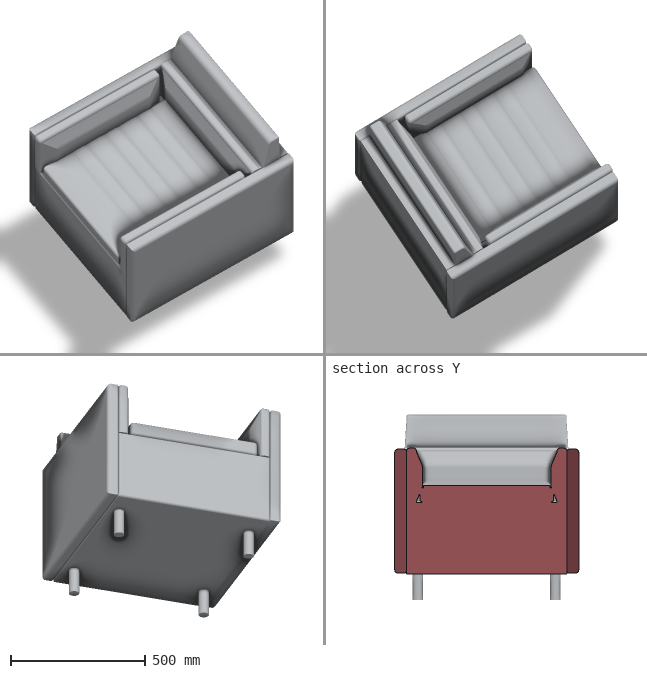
import cadquery as cq


WIDTH = 686.0
DEPTH = 737.0
HEIGHT = 690.5
FRONT = -DEPTH / 2
REAR = DEPTH / 2

LEG_DIAMETER = 38.0
LEG_HEIGHT = 98.0
LEG_X = 256.0
LEG_FRONT_Y = -246.0
LEG_REAR_Y = 252.0

CORE_WIDTH = 598.0
FRONT_INSET = 4.0
REAR_INSET = 3.0
CORE_FRONT = FRONT + FRONT_INSET
CORE_REAR = REAR - REAR_INSET
BASE_TOP = 365.5
BASE_ROUND = 8.0
REAR_WALL_FRONT = 221.0

PANEL_BOTTOM = 101.0
PANEL_TOP = 563.0
PANEL_FRONT = CORE_FRONT
PANEL_OUTER_ROUND = 13.0
PANEL_INNER_ROUND = 8.0
PANEL_THICKNESS = (WIDTH - CORE_WIDTH) / 2

HEADREST_REAR = 330.0
HEADREST_FOOT_FRONT = 249.0
HEADREST_TOP_FRONT = 284.5
HEADREST_FOOT_WIDTH = 609.0
HEADREST_TOP_WIDTH = 592.5
HEADREST_REAR_ROUND = 7.5
HEADREST_FRONT_ROUND = 18.0
HEADREST_SIDE_ROUND = 6.0

CUSHION_RISE = 4.0
CUSHION_TOP = PANEL_TOP + CUSHION_RISE
ARM_THICKNESS = 38.0
ARM_REAR = 177.0
ARM_ROUND = 12.0
BACK_REAR = 240.0
BACK_FRONT = 204.0
BACK_ROUND = 10.0
PILLOW_SWELL = 22.0
PILLOW_SLOPE = 51.5
PILLOW_ROUND = 29.5
PILLOW_MARGIN = 6.0

SEAT_WIDTH = 500.0
SEAT_EDGE_HEIGHT = 53.0
SEAT_ROUND = 9.5
SEAT_CORNER_ROUND = 13.0
SEAT_CROWN = 7.0
SEAT_SWELL = 3.0
SEAM_PITCH = 146.0
SEAM_PAIRS = 3
SEAM_FIRST_Y = -237.0
BOLSTER_WIDTH = 62.0


def block(width, y_front, y_rear, z_bottom, z_top):
    """Box centred on X = 0 between the given Y and Z limits."""
    return cq.Workplane("XY").box(
        width, y_rear - y_front, z_top - z_bottom, centered=(True, False, False)
    ).translate((0, y_front, z_bottom))


def pillow(length, height):
    """Rounded frustum on the XY plane, length along X, swelling toward +Z."""
    swelling = (
        cq.Workplane("XY")
        .rect(length, height)
        .workplane(offset=PILLOW_SWELL)
        .rect(length - 2 * PILLOW_SLOPE, height - 2 * PILLOW_SLOPE)
        .loft(ruled=True)
    )
    return swelling.faces(">Z").edges().fillet(PILLOW_ROUND)


def make_base():
    base = block(CORE_WIDTH, CORE_FRONT, CORE_REAR, LEG_HEIGHT, BASE_TOP)
    base = base.edges("|Z or <Y").fillet(BASE_ROUND)
    rear_wall = block(CORE_WIDTH, REAR_WALL_FRONT, CORE_REAR, BASE_TOP - BASE_ROUND, PANEL_TOP)
    return base.union(rear_wall)


def make_headrest():
    side_outline = [
        (HEADREST_REAR, PANEL_TOP),
        (HEADREST_REAR, HEIGHT),
        (HEADREST_TOP_FRONT, HEIGHT),
        (HEADREST_FOOT_FRONT, PANEL_TOP),
    ]
    headrest = cq.Workplane("YZ").polyline(side_outline).close()
    headrest = headrest.extrude(HEADREST_FOOT_WIDTH / 2, both=True)
    headrest = headrest.faces(">Z").edges(">Y").fillet(HEADREST_REAR_ROUND)
    headrest = headrest.faces(">Z").edges("<Y").fillet(HEADREST_FRONT_ROUND)
    front_outline = [
        (-HEADREST_FOOT_WIDTH / 2, PANEL_TOP),
        (HEADREST_FOOT_WIDTH / 2, PANEL_TOP),
        (HEADREST_TOP_WIDTH / 2, HEIGHT),
        (-HEADREST_TOP_WIDTH / 2, HEIGHT),
    ]
    taper = cq.Workplane("XZ").polyline(front_outline).close().extrude(DEPTH, both=True)
    headrest = headrest.intersect(taper)
    return headrest.faces("<X or >X").edges("not <Z").fillet(HEADREST_SIDE_ROUND)


def make_arm(side):
    """Arm cushion; side is -1 for the left arm and +1 for the right arm."""
    length = ARM_REAR - FRONT
    height = CUSHION_TOP - BASE_TOP
    middle_y = (FRONT + ARM_REAR) / 2
    middle_z = (BASE_TOP + CUSHION_TOP - ARM_ROUND) / 2
    arm = block(ARM_THICKNESS, FRONT, ARM_REAR, BASE_TOP, CUSHION_TOP)
    arm = arm.edges("not <Z").fillet(ARM_ROUND)
    swelling = (
        pillow(length - 2 * ARM_ROUND, height - ARM_ROUND - PILLOW_MARGIN)
        .rotate((0, 0, 0), (0, 0, 1), 90)
        .rotate((0, 0, 0), (0, 1, 0), -90 * side)
        .translate((-side * ARM_THICKNESS / 2, middle_y, middle_z))
    )
    return arm.union(swelling).translate((side * (CORE_WIDTH - ARM_THICKNESS) / 2, 0, 0))


def make_back_cushion():
    height = CUSHION_TOP - BASE_TOP
    cushion = block(CORE_WIDTH, BACK_FRONT, BACK_REAR, BASE_TOP, CUSHION_TOP)
    cushion = cushion.edges("|X and >Z").fillet(BACK_ROUND)
    swelling = (
        pillow(CORE_WIDTH - 2 * BACK_ROUND, height - BACK_ROUND - PILLOW_MARGIN)
        .rotate((0, 0, 0), (1, 0, 0), 90)
        .translate((0, BACK_FRONT, (BASE_TOP + CUSHION_TOP - BACK_ROUND) / 2))
    )
    return cushion.union(swelling)


def make_seat():
    seat_top = BASE_TOP + SEAT_EDGE_HEIGHT
    seat = block(SEAT_WIDTH, CORE_FRONT, BACK_REAR, BASE_TOP, seat_top)
    seat = seat.edges("|Z and <Y").fillet(SEAT_CORNER_ROUND)
    seat = seat.faces(">Z or <Z").edges("not >Y").fillet(SEAT_ROUND)

    stops = [CORE_FRONT + SEAT_ROUND]
    for pair in range(SEAM_PAIRS):
        seam = SEAM_FIRST_Y + pair * SEAM_PITCH
        stops += [seam, seam + BOLSTER_WIDTH]
    stops.append(BACK_REAR)
    seam_height = seat_top + SEAT_CROWN
    heights = [seat_top] + [seam_height] * (len(stops) - 1)
    points = list(zip(stops, heights))
    crown = cq.Workplane("YZ").moveTo(*points[0])
    for start, end in zip(points, points[1:]):
        middle = ((start[0] + end[0]) / 2, (start[1] + end[1]) / 2 + SEAT_SWELL)
        crown = crown.threePointArc(middle, end)
    crown = crown.lineTo(BACK_REAR, BASE_TOP).lineTo(stops[0], BASE_TOP).close()
    return seat.union(crown.extrude(SEAT_WIDTH / 2 - SEAT_CORNER_ROUND, both=True))


def make_core():
    core = make_base().union(make_headrest()).union(make_back_cushion()).union(make_seat())
    for side in (-1, 1):
        core = core.union(make_arm(side))
    return core.solids()


def make_side_panel(side):
    """Outer panel standing against the core; side is -1 for left and +1 for right."""
    panel = block(PANEL_THICKNESS, PANEL_FRONT, REAR, PANEL_BOTTOM, PANEL_TOP)
    panel = panel.translate((side * (CORE_WIDTH + PANEL_THICKNESS) / 2, 0, 0))
    outer_face, inner_face = (">X", "<X") if side > 0 else ("<X", ">X")
    panel = panel.faces(outer_face).edges().fillet(PANEL_OUTER_ROUND)
    return panel.faces(inner_face).edges().fillet(PANEL_INNER_ROUND)


def make_leg(x, y):
    return cq.Workplane("XY").center(x, y).circle(LEG_DIAMETER / 2).extrude(LEG_HEIGHT)


core = make_core()
side_panels = [make_side_panel(side) for side in (-1, 1)]
legs = [make_leg(side * LEG_X, y) for side in (-1, 1) for y in (LEG_FRONT_Y, LEG_REAR_Y)]

result = cq.Compound.makeCompound(
    [
        core.val(),
        *[panel.val() for panel in side_panels],
        *[leg.val() for leg in legs],
    ]
)